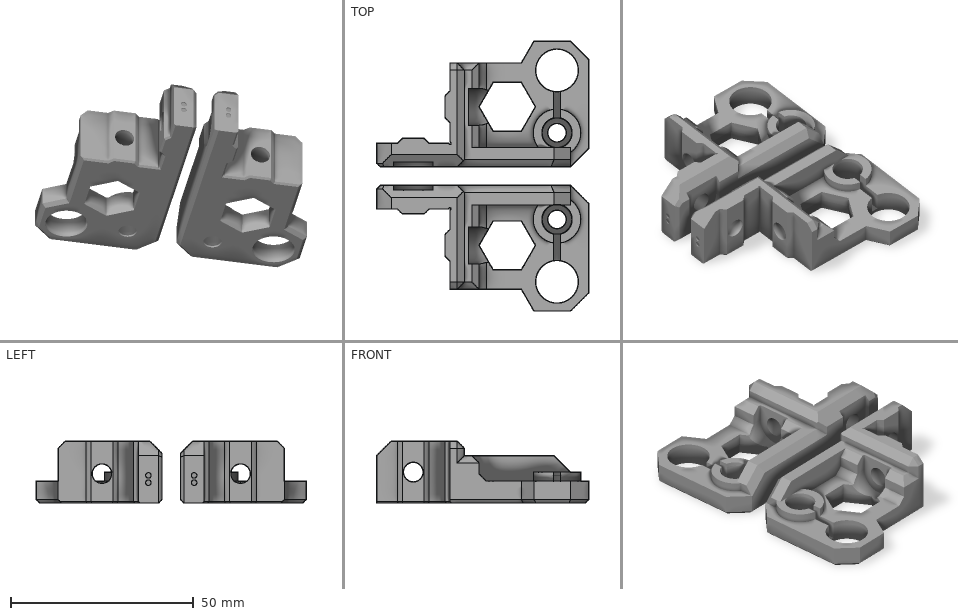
import cadquery as cq
import math

bracket_gap = 5.0
bracket_length = 58.0
bracket_width = 34.425
bracket_height = 17.0

arm_thickness = 6.5
arm_end_bevel = 4.0
arm_top_bevel = 3.4
arm_edge_chamfer = 1.0
wall_front = 20.0
wall_thickness = 4.0
wall_back = wall_front + wall_thickness
wall_end = 28.45
block_chamfer = 2.0

shoulder_height = 13.0
shoulder_depth = 4.0
shoulder_back = wall_back + shoulder_depth
ramp_height = 2.0

plate_thickness = 6.0
plate_corner = 5.0
neck_angle = 60.0
plate_chamfer = 1.0
locating_chamfer = 0.5

bar_width = 5.35
bar_back = bracket_length - plate_corner
bar_slope = 4.5

rib_height = 1.35
rib_base_width = 8.7
bolt_offset = 10.0
arm_bolt_z = 8.5
wall_bolt_z = 8.05
bolt_diameter = 5.3
bolt_seat = 5.15
arm_bolt_head = 10.8
wall_bolt_head = 10.1
arm_bolt_x = wall_front - bolt_offset
wall_bolt_y = 16.45

relief_diameter = 0.6

hex_flats = 13.3
hex_x = 35.7
hex_y = wall_bolt_y
hex_corners = hex_flats * 2 / math.sqrt(3)
hex_flare_height = 3.0
hex_flare = 0.3

rod_diameter = 11.6
rod_x = 49.3
rod_y = 26.4
collar_y = 9.35
collar_diameter = 13.0
collar_height = 8.5
collar_bore = 8.1
collar_floor = 0.5
collar_mouth = 8.3
collar_mouth_depth = 1.0
collar_hole = 5.0
slot_width = 2.0
slot_floor = 1.0

dimple_diameter = 1.5
dimple_depth = 0.3
dimple_y = 3.75
dimple_heights = (5.6, 7.6)

pick = 0.05


def edges_in(x0, x1, y0, y1, z0, z1):
    """Selector for the edges whose centres lie between opposite corners, with a small margin."""
    return cq.selectors.BoxSelector((x0 - pick, y0 - pick, z0 - pick), (x1 + pick, y1 + pick, z1 + pick))


def box(x0, x1, y0, y1, z0, z1):
    """Box between opposite corners."""
    return cq.Workplane("XY").box(x1 - x0, y1 - y0, z1 - z0, centered=False).translate((x0, y0, z0))


def profile_along_y(points, length):
    """XZ outline extruded from Y = 0 towards +Y."""
    return cq.Workplane("XZ").polyline(points).close().extrude(-length)


def make_arm():
    outline = [
        (0, 0),
        (0, bracket_height - arm_end_bevel),
        (arm_end_bevel, bracket_height),
        (wall_front + block_chamfer, bracket_height),
        (wall_front + block_chamfer, 0),
    ]
    arm = profile_along_y(outline, arm_thickness)
    end_edges = edges_in(0, arm_end_bevel / 2, 0, 0, bracket_height / 4, bracket_height)
    return arm.edges(end_edges).chamfer(arm_edge_chamfer)


def make_wall():
    wall = box(wall_front, wall_back, 0, wall_end, 0, bracket_height)
    wall = wall.edges("(>X and >Z) or (>X and >Y) or (>Y and >Z) or (>X and <Y)")
    return wall.chamfer(block_chamfer)


def make_shoulder():
    shoulder = box(wall_front, shoulder_back, block_chamfer, wall_end, 0, shoulder_height)
    shoulder = shoulder.edges("(>X and >Z) or (>Y and >Z)").chamfer(block_chamfer)
    ramp = profile_along_y(
        [
            (shoulder_back, 0),
            (shoulder_back, plate_thickness + ramp_height),
            (shoulder_back + ramp_height, plate_thickness),
            (shoulder_back + ramp_height, 0),
        ],
        wall_end,
    )
    return shoulder.union(ramp)


def make_plate():
    neck_x = hex_x + hex_corners / 4
    neck_run = (bracket_width - wall_end) / math.tan(math.radians(neck_angle))
    outline = [
        (wall_front, 0),
        (bracket_length - plate_corner, 0),
        (bracket_length, plate_corner),
        (bracket_length, bracket_width - plate_corner),
        (bracket_length - plate_corner, bracket_width),
        (neck_x + neck_run, bracket_width),
        (neck_x, wall_end),
        (wall_front, wall_end),
    ]
    return cq.Workplane("XY").polyline(outline).close().extrude(plate_thickness)


def make_bar():
    bar = profile_along_y(
        [
            (wall_front, 0),
            (wall_front, shoulder_height),
            (bar_back - bar_slope, shoulder_height),
            (bar_back, shoulder_height - bar_slope),
            (bar_back, 0),
        ],
        bar_width,
    )
    top_edges = edges_in(wall_back, bar_back - bar_slope / 2, 0, 0, plate_thickness + pick, shoulder_height)
    return bar.edges(top_edges).chamfer(block_chamfer)


def make_rib():
    """Upright rib centred on X = 0 that stands out from Y = 0 towards +Y."""
    half_base = rib_base_width / 2
    half_top = half_base - rib_height
    outline = [(-half_base, 0), (-half_top, rib_height), (half_top, rib_height), (half_base, 0)]
    return cq.Workplane("XY").polyline(outline).close().extrude(bracket_height)


def bolt_cutter(head_diameter):
    """Bolt hole along Y with an open-topped head recess; the head sits on Y = 0 and faces +Y."""
    reach = 2 * arm_thickness
    hole = cq.Workplane("XZ").circle(bolt_diameter / 2).extrude(reach)
    head = cq.Workplane("XZ").circle(head_diameter / 2).extrude(-reach)
    opening = box(-head_diameter / 2, head_diameter / 2, 0, reach, 0, bracket_height)
    return hole.union(head).union(opening)


def bevel_arm_top(bracket):
    """Long bevel along the top inner edge of the arm."""
    bevel = (
        cq.Workplane("YZ")
        .polyline([
            (0, bracket_height - arm_top_bevel),
            (arm_top_bevel, bracket_height),
            (0, bracket_height),
        ])
        .close()
        .extrude(wall_back)
    )
    return bracket.cut(bevel)


def add_ribs(bracket):
    arm_rib = make_rib().translate((arm_bolt_x, arm_thickness, 0))
    wall_rib = make_rib().rotate((0, 0, 0), (0, 0, 1), 90).translate((wall_front, wall_bolt_y, 0))
    return bracket.union(arm_rib).union(wall_rib)


def chamfer_bottom(bracket):
    """Wide chamfer around the plate and inner face, narrow one along the locating faces and ribs."""
    inner_edge = edges_in(0, bracket_length, 0, 0, 0, 0)
    plate_edges = edges_in(wall_front + 2 * pick, bracket_length, 0, bracket_width, 0, 0)
    bracket = bracket.edges(inner_edge + plate_edges).chamfer(plate_chamfer)
    locating_edges = edges_in(2 * pick, wall_front, arm_thickness, wall_end, 0, 0)
    return bracket.edges(locating_edges).chamfer(locating_chamfer)


def cut_corner_relief(bracket):
    relief = cq.Workplane("XY").center(wall_front, arm_thickness).circle(relief_diameter / 2)
    return bracket.cut(relief.extrude(bracket_height))


def cut_bolts(bracket):
    arm_bolt = bolt_cutter(arm_bolt_head).rotate((0, 0, 0), (0, 0, 1), 180)
    arm_bolt = arm_bolt.translate((arm_bolt_x, arm_thickness - bolt_seat, arm_bolt_z))
    wall_bolt = bolt_cutter(wall_bolt_head).rotate((0, 0, 0), (0, 0, 1), -90)
    wall_bolt = wall_bolt.translate((wall_front + bolt_seat, wall_bolt_y, wall_bolt_z))
    return bracket.cut(arm_bolt).cut(wall_bolt)


def cut_hex_window(bracket):
    """Hexagonal window that widens towards the bottom."""
    bottom = cq.Workplane("XY").center(hex_x, hex_y)
    window = bottom.polygon(6, hex_corners).extrude(bracket_height)
    flare = (
        bottom.polygon(6, hex_corners + 2 * hex_flare)
        .workplane(offset=hex_flare_height)
        .polygon(6, hex_corners)
        .loft(ruled=True)
    )
    return bracket.cut(window).cut(flare)


def add_collar(bracket):
    """Collar with a stepped bore, beside a rod hole that a slot joins to it."""
    collar = cq.Workplane("XY").center(rod_x, collar_y).circle(collar_diameter / 2).extrude(collar_height)
    bore_outline = [
        (0, 0),
        (collar_hole / 2, 0),
        (collar_hole / 2, collar_floor),
        (collar_bore / 2, collar_floor),
        (collar_bore / 2, collar_height - collar_mouth_depth),
        (collar_mouth / 2, collar_height),
        (0, collar_height),
    ]
    bore = cq.Workplane("XZ").polyline(bore_outline).close().revolve(360, (0, 0, 0), (0, 1, 0))
    bore = bore.translate((rod_x, collar_y, 0))
    rod_hole = cq.Workplane("XY").center(rod_x, rod_y).circle(rod_diameter / 2).extrude(plate_thickness)
    half_slot = slot_width / 2
    slot = box(rod_x - half_slot, rod_x + half_slot, collar_y, rod_y, slot_floor, collar_height)
    return bracket.union(collar).cut(bore).cut(rod_hole).cut(slot)


def cut_dimples(bracket):
    centres = [(dimple_y, height) for height in dimple_heights]
    dimples = cq.Workplane("YZ").pushPoints(centres).circle(dimple_diameter / 2).extrude(dimple_depth)
    return bracket.cut(dimples)


def make_bracket():
    bracket = make_plate().union(make_bar()).union(make_shoulder()).union(make_wall()).union(make_arm())
    bracket = bevel_arm_top(bracket)
    bracket = add_ribs(bracket)
    bracket = chamfer_bottom(bracket)
    bracket = cut_corner_relief(bracket)
    bracket = cut_bolts(bracket)
    bracket = cut_hex_window(bracket)
    bracket = add_collar(bracket)
    bracket = cut_dimples(bracket)
    return bracket.translate((0, bracket_gap / 2, 0))


left_bracket = make_bracket()
right_bracket = left_bracket.mirror("XZ")
result = cq.Compound.makeCompound([left_bracket.val(), right_bracket.val()])